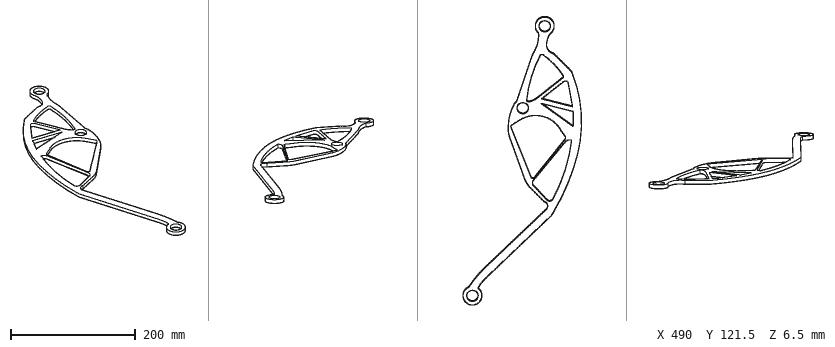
import cadquery as cq

thickness = 6.5
eye_diameter = 30.5
hole_diameter = 18.0
overall_length = 490.0
eye_spacing = overall_length - eye_diameter
pivot_x = 139.5


def plate(start, segments):
    """Extrude a closed outline. A segment is (end,) for a line or (through, end) for an arc."""
    outline = cq.Workplane("XY").moveTo(*start)
    for segment in segments:
        if len(segment) == 1:
            outline = outline.lineTo(*segment[0])
        else:
            outline = outline.threePointArc(*segment)
    return outline.close().extrude(thickness)


def discs(diameter, x_positions):
    """Upright cylinders centred on the eye line."""
    points = [(x, 0) for x in x_positions]
    return cq.Workplane("XY").pushPoints(points).circle(diameter / 2).extrude(thickness)


body = plate(
    (8.0, 12.5),
    [
        ((13.0, 7.5), (22.0, 5.0)),
        ((32.0, 4.0), (41.0, 5.0)),
        ((53.0, 7.5),),
        ((132.0, 12.2),),
        ((136.0, 14.5),),
        ((156.0, 17.0), (174.0, 15.0)),
        ((184.0, 12.2), (193.0, 7.5)),
        ((254.5, -34.0),),
        ((260.0, -39.5), (265.0, -47.0)),
        ((280.5, -72.0),),
        ((284.5, -79.0), (291.5, -79.0)),
        ((410.5, -7.5),),
        ((428.5, 2.0), (448.0, 9.5)),
        ((eye_spacing, 0),),
        ((445.0, -6.0),),
        ((438.5, -7.5),),
        ((429.0, -12.0), (420.0, -17.0)),
        ((300.5, -88.5),),
        ((297.0, -90.0), (293.0, -91.0)),
        ((242.0, -101.5), (191.0, -104.5)),
        ((123.0, -92.5), (64.0, -62.0)),
        ((62.0, -61.0), (60.5, -58.5)),
        ((40.0, -25.0),),
        ((36.5, -14.5), (28.5, -10.5)),
        ((21.0, -10.0), (14.0, -10.5)),
        ((5.5, -13.5),),
        ((0, 0),),
    ],
)

upper_left_window = plate(
    (47.5, -5.5),
    [
        ((87.0, -0.5), (126.0, -3.0)),
        ((127.0, -5.5), (126.0, -9.0)),
        ((122.0, -14.0), (117.0, -18.5)),
        ((75.0, -49.5),),
        ((73.5, -50.0), (72.0, -49.5)),
        ((56.5, -29.5), (46.0, -9.0)),
        ((46.0, -7.0), (47.5, -5.5)),
    ],
)

lower_left_window = plate(
    (117.0, -25.5),
    [
        ((117.0, -76.5),),
        ((81.0, -60.0),),
        ((79.0, -56.0), (81.5, -52.0)),
    ],
)

narrow_window = plate(
    (124.5, -26.0),
    [
        ((148.5, -85.7),),
        ((124.5, -79.5),),
    ],
)

upper_right_window = plate(
    (171.0, 10.0),
    [
        ((173.5, 11.0), (176.0, 10.0)),
        ((246.0, -41.0),),
        ((248.0, -44.0), (246.0, -47.0)),
        ((175.5, -77.5),),
        ((172.0, -79.0), (168.0, -78.0)),
        ((160.0, -68.5),),
        ((144.5, -34.0), (160.0, 0.0)),
    ],
)

lower_right_window = plate(
    (171.0, -89.0),
    [
        ((172.5, -83.5), (177.0, -80.0)),
        ((251.0, -46.5),),
        ((256.5, -46.5), (260.5, -51.5)),
        ((276.5, -75.5),),
        ((277.0, -81.5), (272.5, -85.0)),
        ((221.5, -91.5), (171.0, -89.0)),
    ],
)

result = body.union(discs(eye_diameter, [0, eye_spacing]))
windows = [
    upper_left_window,
    lower_left_window,
    narrow_window,
    upper_right_window,
    lower_right_window,
]
for window in windows:
    result = result.cut(window)
result = result.cut(discs(hole_diameter, [0, pivot_x, eye_spacing]))